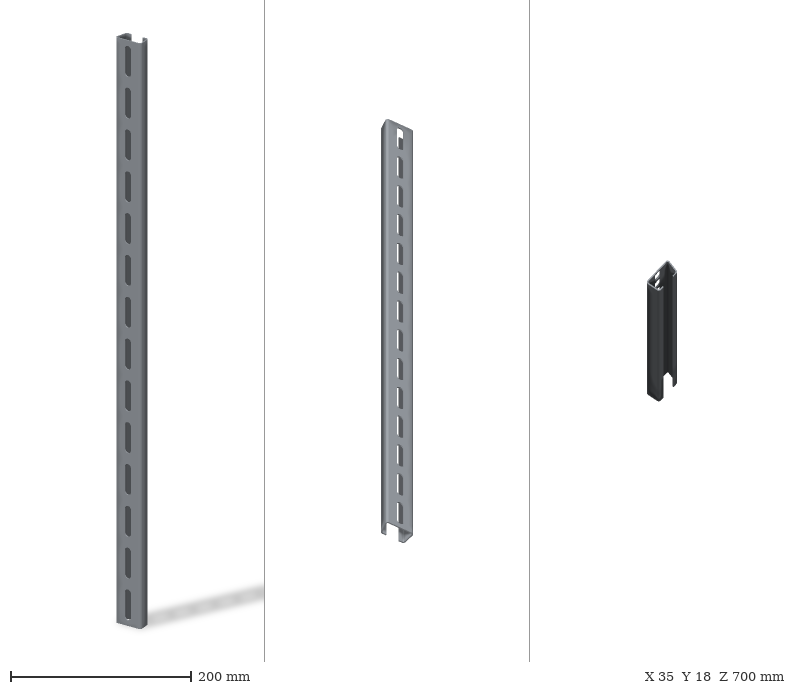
import cadquery as cq
import math

length = 700.0
base_width = 35.0
depth = 18.0

thickness = 1.5
bend_radius = 3.0
top_width = 31.2
mouth_width = 16.0

slot_count = 14
slot_pitch = 50.0
slot_length = 37.0
slot_width = 8.5
along_rail = 90.0

base_bend = (base_width / 2 - bend_radius, bend_radius)
lip_bend = (top_width / 2 - bend_radius, depth - bend_radius)
wall_lean = math.atan2(base_bend[0] - lip_bend[0], lip_bend[1] - base_bend[1])


def point_on_bend(center, radius, angle):
    """Point at the given angle (radians from +X) on a bend arc."""
    return (center[0] + radius * math.cos(angle), center[1] + radius * math.sin(angle))


def half_section():
    """Closed outline of the sheet on the +X side of the symmetry plane."""
    outer = bend_radius
    inner = bend_radius - thickness
    down = -math.pi / 2
    up = math.pi / 2
    base_mid = (down + wall_lean) / 2
    lip_mid = (up + wall_lean) / 2
    return (
        cq.Workplane("XY")
        .moveTo(0, 0)
        .lineTo(*point_on_bend(base_bend, outer, down))
        .threePointArc(point_on_bend(base_bend, outer, base_mid), point_on_bend(base_bend, outer, wall_lean))
        .lineTo(*point_on_bend(lip_bend, outer, wall_lean))
        .threePointArc(point_on_bend(lip_bend, outer, lip_mid), point_on_bend(lip_bend, outer, up))
        .lineTo(mouth_width / 2, depth)
        .lineTo(mouth_width / 2, depth - thickness)
        .lineTo(*point_on_bend(lip_bend, inner, up))
        .threePointArc(point_on_bend(lip_bend, inner, lip_mid), point_on_bend(lip_bend, inner, wall_lean))
        .lineTo(*point_on_bend(base_bend, inner, wall_lean))
        .threePointArc(point_on_bend(base_bend, inner, base_mid), point_on_bend(base_bend, inner, down))
        .lineTo(0, thickness)
        .close()
    )


def make_rail():
    """Full-length C-rail, open towards +Y and standing on Z = 0."""
    half = half_section().extrude(length)
    return half.union(half.mirror("YZ"))


def make_slots():
    """Lengthwise slots, centred along the rail, that cut through the base only."""
    first_center = (length - (slot_count - 1) * slot_pitch) / 2
    centers = [(0, first_center + i * slot_pitch) for i in range(slot_count)]
    return (
        cq.Workplane("XZ")
        .pushPoints(centers)
        .slot2D(slot_length, slot_width, along_rail)
        .extrude(-thickness)
    )


result = make_rail().cut(make_slots()).clean()